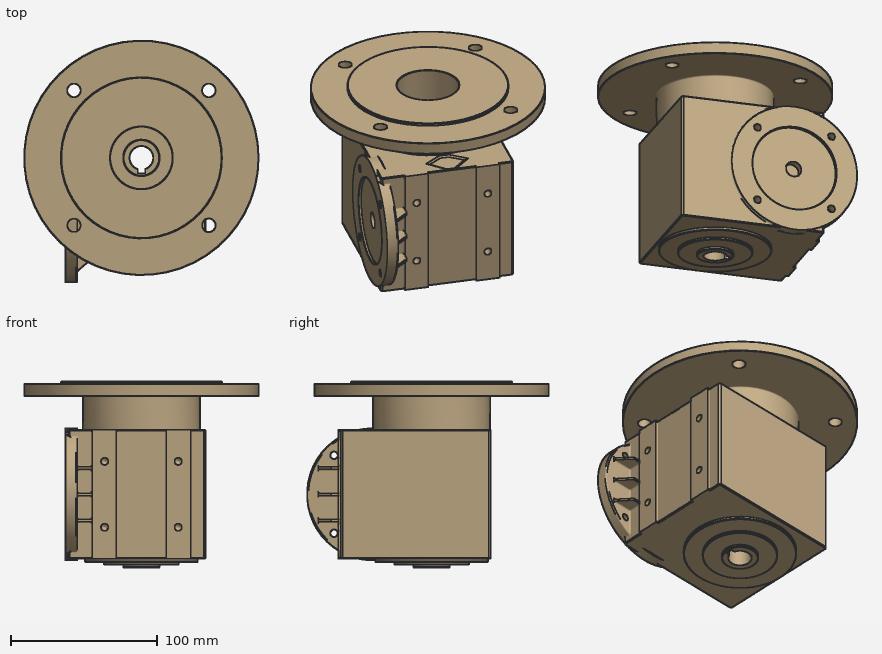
import cadquery as cq
import math

overall_y = 165.0

flange_diameter = 160.0
flange_bottom = 67.0
flange_top = 75.2
flange_chamfer = 0.3
spigot_diameter = 110.0
spigot_top = 77.0
spigot_chamfer = 0.5
neck_diameter = 80.0
neck_fillet = 0.8
bolt_circle = 130.0
bolt_hole_diameter = 9.0
counterbore_diameter = 42.4
bore_rim_chamfer = 0.3
shaft_bore_diameter = 16.0
keyway_width = 5.0
keyway_reach = 10.4

hub_diameter = 25.0
hub_half_length = 50.0
cover_rings = [(77.0, 46.2), (51.2, 48.0)]
ring_chamfer = 0.5

housing_left = -50.0
housing_right = 43.7
housing_back = 40.5
panel_front = -62.0
housing_half_height = 44.0
housing_chamfer = 1.3
panel_chamfer = 0.7

strip_inner = 17.0
strip_outer = 33.5
strip_front = -63.5
mount_hole_diameter = 5.0
mount_hole_x = 25.0
mount_hole_z = 22.5
blind_depth = 9.9
drill_point_angle = 118.0

pocket_front = -60.9
pocket_front_half = 3.6
pocket_half_width = 14.8
pocket_back = -41.2
pocket_depth = 0.8
pocket_wall_slope = 65.0

input_diameter = 90.1
input_y = (flange_diameter + input_diameter) / 2 - overall_y
input_face = -51.8
input_back = -43.7
input_recess_diameter = 60.0
input_recess_depth = 2.0
input_bore_diameter = 10.9
input_bore_depth = 6.0
input_hole_diameter = 5.0
input_hole_offset = 26.5

rib_spacing = 17.8
rib_thickness = 1.6
rib_flange_y = -77.4
rib_strip_y = -68.5

casting_fillet = 1.0
strip_fillet = 0.5
tolerance = 0.02
smallest_circle = cq.selectors.RadiusNthSelector(0)


def disc(diameter, bottom, top):
    """Cylinder about the output axis between two heights."""
    return cq.Workplane("XY").workplane(offset=bottom).circle(diameter / 2).extrude(top - bottom)


def input_disc(diameter, left, right):
    """Cylinder about the input axis between two X positions."""
    plane = cq.Workplane("YZ", origin=(left, input_y, 0))
    return plane.circle(diameter / 2).extrude(right - left)


def box(x_range, y_range, z_range):
    """Box between the given limits."""
    corner = (x_range[0], y_range[0], z_range[0])
    sizes = [limits[1] - limits[0] for limits in (x_range, y_range, z_range)]
    return cq.Workplane("XY").box(*sizes, centered=False).translate(corner)


def edges_between(solid, x_range, y_range, half_height):
    """Edges lying wholly inside a zone that is symmetrical about z = 0."""
    low = (x_range[0] - tolerance, y_range[0] - tolerance, -half_height)
    high = (x_range[1] + tolerance, y_range[1] + tolerance, half_height)
    return solid.edges(cq.selectors.BoxSelector(low, high, boundingbox=True))


def drill(start, direction, diameter, depth):
    """Blind drilled hole with a conical point."""
    radius = diameter / 2
    point = radius / math.tan(math.radians(drill_point_angle / 2))
    axis = cq.Vector(*direction)
    origin = cq.Vector(*start)
    barrel = cq.Solid.makeCylinder(radius, depth, origin, axis)
    tip = cq.Solid.makeCone(radius, 0, point, origin + axis * depth, axis)
    return cq.Workplane(barrel.fuse(tip))


def make_housing():
    """Housing block with its two mounting strips."""
    z_range = (-housing_half_height, housing_half_height)
    block = box((housing_left, housing_right), (panel_front, housing_back), z_range)
    block = block.edges("|Z").chamfer(housing_chamfer)
    block = block.faces("<Z or >Z").chamfer(panel_chamfer)
    strip_y = (strip_front, panel_front + housing_chamfer)
    for left, right in ((-strip_outer, -strip_inner), (strip_inner, strip_outer)):
        block = block.union(box((left, right), strip_y, z_range))
    panel_y = (panel_front, panel_front)
    sides = edges_between(block, (-strip_inner, strip_outer), panel_y, housing_half_height)
    return sides.edges("|Z").fillet(strip_fillet)


def make_rib(z):
    outline = [
        (input_back, panel_front),
        (input_back, rib_flange_y),
        (-strip_outer, rib_strip_y),
        (-strip_outer, panel_front),
    ]
    plane = cq.Workplane("XY").workplane(offset=z - rib_thickness / 2)
    return plane.polyline(outline).close().extrude(rib_thickness)


def make_casting():
    """Housing, input flange and ribs with their fillets and the rounded back rim of the flange."""
    casting = make_housing().union(input_disc(input_diameter, input_face, input_back))
    for rib_index in (-1, 0, 1):
        casting = casting.union(make_rib(rib_index * rib_spacing))

    rim_half_height = math.sqrt((input_diameter / 2) ** 2 - (input_y - panel_front) ** 2)
    panel_x = (housing_left + housing_chamfer, -strip_outer)
    panel_y = (panel_front, panel_front)
    panel_edges = edges_between(casting, panel_x, panel_y, rim_half_height + tolerance)
    strip_edges = edges_between(casting, (-strip_outer, -strip_outer), panel_y, housing_half_height)

    left_wall = (housing_left, housing_left)
    wall_arcs = edges_between(casting, left_wall, (panel_front, housing_back), input_diameter / 2)

    flange_back = (input_back, input_back)
    free_y = (input_y - input_diameter / 2, panel_front)
    free_rim = edges_between(casting, flange_back, free_y, input_diameter / 2)
    rib_ends = edges_between(casting, flange_back, (rib_flange_y, panel_front), 2 * rib_spacing)

    meeting_edges = panel_edges.add(strip_edges.edges("|Z")).add(wall_arcs.edges("%CIRCLE"))
    return meeting_edges.add(free_rim.edges("%CIRCLE")).add(rib_ends.edges("|Y")).fillet(casting_fillet)


def make_output_flange():
    flange = disc(flange_diameter, flange_bottom, flange_top).edges().chamfer(flange_chamfer)
    neck = disc(neck_diameter, housing_half_height, flange_bottom)
    spigot = disc(spigot_diameter, flange_top, spigot_top).faces(">Z").edges().chamfer(spigot_chamfer)
    joined = flange.union(neck)
    joined = joined.edges(smallest_circle).edges(">Z").fillet(neck_fillet)
    return joined.union(spigot)


def make_cover():
    cover = None
    for diameter, depth in cover_rings:
        ring = disc(diameter, -depth, -housing_half_height).faces("<Z").edges().chamfer(ring_chamfer)
        cover = ring if cover is None else cover.union(ring)
    return cover


def make_shaft_bore():
    bore = disc(shaft_bore_diameter, -hub_half_length, hub_half_length)
    half_key = keyway_width / 2
    keyway = box((-half_key, half_key), (-keyway_reach, 0), (-hub_half_length, hub_half_length))
    return bore.union(keyway)


def make_top_pocket():
    middle = pocket_front - pocket_front_half + pocket_half_width
    outline = [
        (-pocket_front_half, pocket_front),
        (pocket_front_half, pocket_front),
        (pocket_half_width, middle),
        (pocket_front_half, pocket_back),
        (-pocket_front_half, pocket_back),
        (-pocket_half_width, middle),
    ]
    plane = cq.Workplane("XY").workplane(offset=housing_half_height)
    return plane.polyline(outline).close().extrude(-pocket_depth, taper=pocket_wall_slope)


body = make_casting().cut(make_top_pocket())
body = body.union(make_output_flange()).union(make_cover())

body = body.cut(disc(counterbore_diameter, housing_half_height, spigot_top))
body = body.faces(">Z").edges(smallest_circle).chamfer(bore_rim_chamfer)
hub = disc(hub_diameter, -hub_half_length, hub_half_length).edges().chamfer(ring_chamfer)
body = body.union(hub).cut(make_shaft_bore())

bolt_offset = bolt_circle / 2 * math.sqrt(0.5)
for x in (-bolt_offset, bolt_offset):
    for y in (-bolt_offset, bolt_offset):
        body = body.cut(disc(bolt_hole_diameter, flange_bottom, flange_top).translate((x, y, 0)))

for x in (-mount_hole_x, mount_hole_x):
    for z in (-mount_hole_z, mount_hole_z):
        body = body.cut(drill((x, strip_front, z), (0, 1, 0), mount_hole_diameter, blind_depth))

recess_floor = input_face + input_recess_depth
body = body.cut(input_disc(input_recess_diameter, input_face, recess_floor))
body = body.faces("<X").edges(smallest_circle).chamfer(bore_rim_chamfer)
body = body.cut(input_disc(input_bore_diameter, recess_floor, recess_floor + input_bore_depth))
for y in (input_y - input_hole_offset, input_y + input_hole_offset):
    for z in (-input_hole_offset, input_hole_offset):
        body = body.cut(drill((input_face, y, z), (1, 0, 0), input_hole_diameter, blind_depth))

result = body